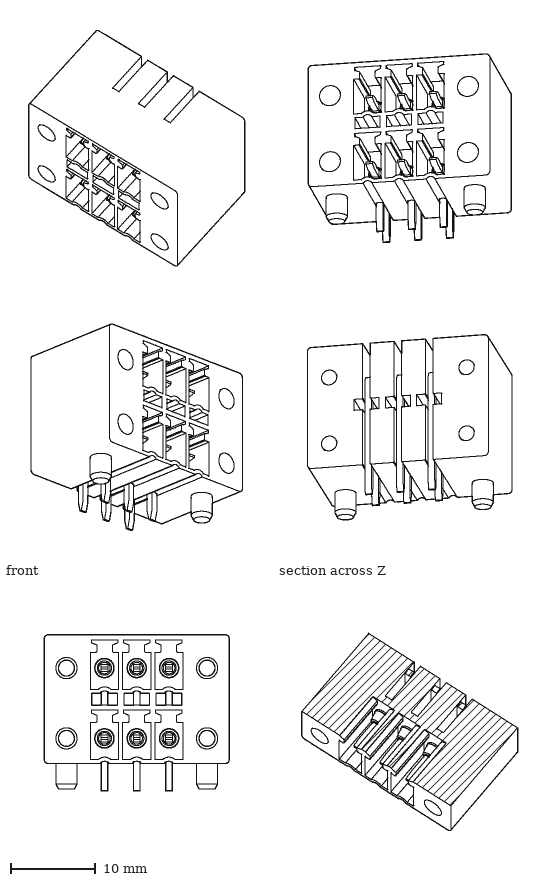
import cadquery as cq
import math


WIDTH = 21.82
DEPTH = 13.3
HEIGHT = 15.2
CORNER_RADIUS = 0.5

COLUMNS = (-1, 0, 1)
POCKET_PITCH = 3.78
PIN_PITCH = 3.81
ROW_PITCH = 8.28
ROW_BASES = (0, ROW_PITCH)
AXIS_HEIGHT = 2.98

POCKET_DEPTH = 6.6
POCKET_WIDTH = 3.3
FLOOR_HEIGHT = 0.48
SHOULDER_HEIGHT = 4.83
NECK_WIDTH = 1.85
NECK_CHAMFER = 0.1
NECK_TOP = 5.69
LIP_WIDTH = 3.15
LIP_BOTTOM = 5.97
POCKET_TOP = 6.31

ARCH_CENTER = -0.33
RIDGE_RADIUS = 1.1
GROOVE_RADIUS = 0.62

COLLAR_BASE_RADIUS = 1.15
COLLAR_BASE_LENGTH = 0.2
COLLAR_CONE_RADIUS = 1.1
COLLAR_EDGE_RADIUS = 0.84
COLLAR_TIP_RADIUS = 0.68
COLLAR_LENGTH = 1.5
COLLAR_TIP_LENGTH = 0.12

WINDOW_WIDTH = 3.0
WINDOW_HEIGHT = 1.37

PIN_SIZE = 0.8
PIN_TIP_Y = 1.25
TIP_LENGTH = 1.1
TIP_THICKNESS = 0.25
PIN_DROP = 3.2
BEND_RADIUS = 1.1
REAR_LEG_INSET = 1.1
ROW_BACK_FACES = (DEPTH - REAR_LEG_INSET - PIN_PITCH, DEPTH - REAR_LEG_INSET)

SLOT_WIDTH = 0.9
SLOT_FRONT = ROW_BACK_FACES[0] - PIN_SIZE

FLANGE_X = 8.28
SIDES = (-1, 1)
HOLE_DIAMETER = 1.85
COUNTERBORE_DIAMETER = 2.5
COUNTERBORE_DEPTH = POCKET_DEPTH
PEG_DIAMETER = 2.5
PEG_TIP_DIAMETER = 1.9
PEG_LENGTH = 3.0
PEG_TIP_LENGTH = 0.58
PEG_Y = 4.2


def front_plane(x, z):
    """Sketch plane on the mating face; negative extrusion runs towards +Y."""
    return cq.Workplane("XZ", origin=(x, 0, z))


def pocket_cutter(x, base):
    """Keyed socket pocket with a ridge along its floor."""
    half_width = POCKET_WIDTH / 2
    half_neck = NECK_WIDTH / 2
    half_lip = LIP_WIDTH / 2
    half_ridge = math.sqrt(RIDGE_RADIUS**2 - (FLOOR_HEIGHT - ARCH_CENTER) ** 2)
    right_side = [
        (half_width, FLOOR_HEIGHT),
        (half_width, SHOULDER_HEIGHT),
        (half_neck + NECK_CHAMFER, SHOULDER_HEIGHT),
        (half_neck, SHOULDER_HEIGHT + NECK_CHAMFER),
        (half_neck, NECK_TOP),
        (half_lip, LIP_BOTTOM),
        (half_lip, POCKET_TOP),
    ]
    left_side = [(-px, pz) for px, pz in reversed(right_side)]
    return (
        front_plane(x, base)
        .moveTo(-half_ridge, FLOOR_HEIGHT)
        .threePointArc((0, ARCH_CENTER + RIDGE_RADIUS), (half_ridge, FLOOR_HEIGHT))
        .polyline(right_side + left_side, includeCurrent=True)
        .close()
        .extrude(-POCKET_DEPTH)
    )


def collar(x, base):
    """Collar: a short round base, then a cone with a chamfered end, standing on the end wall of a pocket."""
    profile = [
        (0, 0),
        (COLLAR_BASE_RADIUS, 0),
        (COLLAR_BASE_RADIUS, COLLAR_BASE_LENGTH),
        (COLLAR_CONE_RADIUS, COLLAR_BASE_LENGTH),
        (COLLAR_EDGE_RADIUS, COLLAR_LENGTH - COLLAR_TIP_LENGTH),
        (COLLAR_TIP_RADIUS, COLLAR_LENGTH),
        (0, COLLAR_LENGTH),
    ]
    plane = cq.Plane(
        origin=(x, POCKET_DEPTH, base + AXIS_HEIGHT), xDir=(1, 0, 0), normal=(0, 0, 1)
    )
    outline = [(radius, -reach) for radius, reach in profile]
    return cq.Workplane(plane).polyline(outline).close().revolve(360, (0, 0), (0, 1))


def groove_cutter(x, base):
    """Round groove running the full depth under a pocket floor."""
    return front_plane(x, base + ARCH_CENTER).circle(GROOVE_RADIUS).extrude(-DEPTH)


def window_cutter(x):
    """Rectangular opening just below the upper row, through the full depth."""
    middle = ROW_PITCH - WINDOW_HEIGHT / 2
    return front_plane(x, middle).rect(WINDOW_WIDTH, WINDOW_HEIGHT).extrude(-DEPTH)


def slot_cutter(x):
    """Full-height slot, open at the back, for the legs of one column."""
    return (
        cq.Workplane("XY", origin=(x, SLOT_FRONT, 0))
        .box(SLOT_WIDTH, DEPTH - SLOT_FRONT, HEIGHT, centered=(True, False, False))
    )


def flange_hole_cutter(x, z):
    """Through hole, counterbored from the mating face."""
    hole = front_plane(x, z).circle(HOLE_DIAMETER / 2).extrude(-DEPTH)
    counterbore = front_plane(x, z).circle(COUNTERBORE_DIAMETER / 2).extrude(-COUNTERBORE_DEPTH)
    return hole.union(counterbore)


def make_pin(x, base, back):
    """Right-angle square pin with both ends tapered; `back` is the rear face of its leg."""
    axis = base + AXIS_HEIGHT
    top = axis + PIN_SIZE / 2
    underside = axis - PIN_SIZE / 2
    front = back - PIN_SIZE
    leg_middle = back - PIN_SIZE / 2
    inner_radius = BEND_RADIUS - PIN_SIZE
    half_tip = TIP_THICKNESS / 2
    bend_y = back - BEND_RADIUS
    bend_z = top - BEND_RADIUS
    diagonal = math.sqrt(0.5)
    outer_mid = (bend_y + BEND_RADIUS * diagonal, bend_z + BEND_RADIUS * diagonal)
    inner_mid = (bend_y + inner_radius * diagonal, bend_z + inner_radius * diagonal)
    return (
        cq.Workplane("YZ", origin=(x, 0, 0))
        .moveTo(PIN_TIP_Y, axis + half_tip)
        .lineTo(PIN_TIP_Y + TIP_LENGTH, top)
        .lineTo(bend_y, top)
        .threePointArc(outer_mid, (back, bend_z))
        .lineTo(back, TIP_LENGTH - PIN_DROP)
        .lineTo(leg_middle + half_tip, -PIN_DROP)
        .lineTo(leg_middle - half_tip, -PIN_DROP)
        .lineTo(front, TIP_LENGTH - PIN_DROP)
        .lineTo(front, bend_z)
        .threePointArc(inner_mid, (bend_y, underside))
        .lineTo(PIN_TIP_Y + TIP_LENGTH, underside)
        .lineTo(PIN_TIP_Y, axis - half_tip)
        .close()
        .extrude(PIN_SIZE / 2, both=True)
    )


def make_peg(x):
    """Locating peg with a conical tip, standing on the underside of the housing."""
    return (
        cq.Workplane("XZ", origin=(x, PEG_Y, 0))
        .polyline([
            (0, 0),
            (PEG_DIAMETER / 2, 0),
            (PEG_DIAMETER / 2, PEG_TIP_LENGTH - PEG_LENGTH),
            (PEG_TIP_DIAMETER / 2, -PEG_LENGTH),
            (0, -PEG_LENGTH),
        ])
        .close()
        .revolve(360, (0, 0), (0, 1))
    )


def make_housing(pins):
    """Block with its pockets, windows, slots and flange holes, and a matching passage for each pin."""
    housing = (
        cq.Workplane("XY")
        .box(WIDTH, DEPTH, HEIGHT, centered=(True, False, False))
        .edges("|Y")
        .fillet(CORNER_RADIUS)
    )
    for column in COLUMNS:
        pocket_x = column * POCKET_PITCH
        housing = housing.cut(window_cutter(pocket_x)).cut(slot_cutter(pocket_x))
        for base in ROW_BASES:
            housing = housing.cut(pocket_cutter(pocket_x, base))
            housing = housing.cut(groove_cutter(pocket_x, base))
            housing = housing.union(collar(column * PIN_PITCH, base))
    for side in SIDES:
        for base in ROW_BASES:
            housing = housing.cut(flange_hole_cutter(side * FLANGE_X, base + AXIS_HEIGHT))
    for pin in pins:
        housing = housing.cut(pin)
    return housing


pins = [
    make_pin(column * PIN_PITCH, base, back)
    for base, back in zip(ROW_BASES, ROW_BACK_FACES)
    for column in COLUMNS
]
pegs = [make_peg(side * FLANGE_X) for side in SIDES]
housing = make_housing(pins)

result = cq.Compound.makeCompound(
    [housing.val()] + [pin.val() for pin in pins] + [peg.val() for peg in pegs]
)